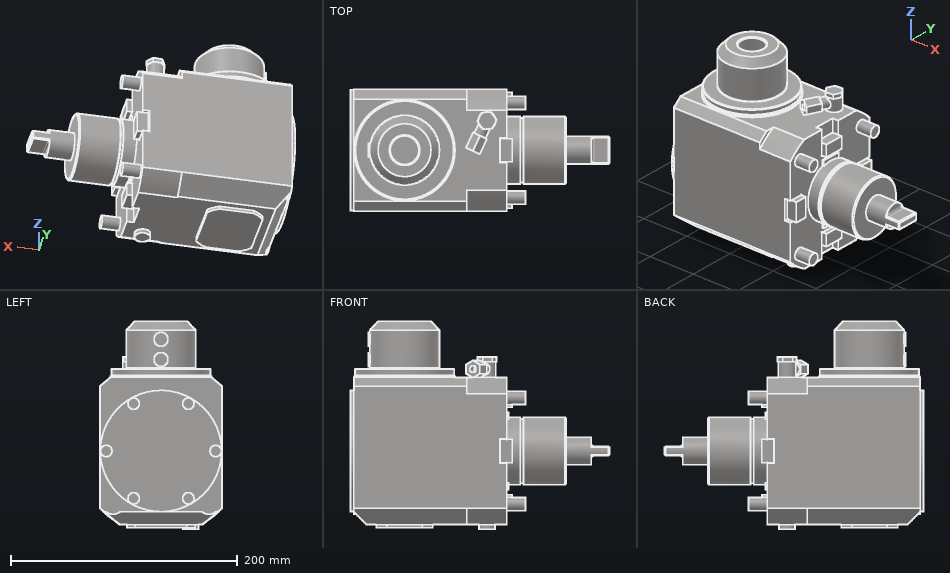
import cadquery as cq

HOUSING_FRONT = 3.0
HOUSING_REAR = 138.3
HOUSING_HALF_WIDTH = 54.0
HOUSING_HALF_HEIGHT = 65.0
TURNED_START = 102.8
TURNED_RADIUS = 74.0
TOP_CHAMFER_Y = 9.2
TOP_CHAMFER_Z = 7.8
BOTTOM_CHAMFER_Y = 17.2
BOTTOM_CHAMFER_Z = 14.7
FRONT_CHAMFER = 11.2

COVER_RADIUS = 53.5
COVER_SCREW_COUNT = 6
COVER_SCREW_RADIUS = 5.0
COVER_SCREW_CIRCLE = 48.3
COVER_SCREW_RECESS = 0.2

CORNER_PAD_RADIUS = 9.8
CORNER_PAD_Y = 42.4
CORNER_PAD_Z = -46.0
CORNER_PAD_LENGTH = 9.2

SPINDLE_X = 47.9
COLLAR_RADIUS = 44.0
COLLAR_FOOT_RADIUS = 44.7
COLLAR_GROOVE_RADIUS = 43.0
COLLAR_FOOT_TOP = 66.0
COLLAR_GROOVE_TOP = 67.0
COLLAR_TOP = 72.8
COLLAR_CHAMFER = 0.7
NECK_RADIUS = 30.2
NECK_TOP = 73.5
NOSE_RADIUS = 31.0
NOSE_TOP = 114.8
NOSE_CHAMFER_HEIGHT = 8.0
NOSE_CHAMFER_WIDTH = 7.5
BORE_RADIUS = 12.5
BORE_CHAMFER = 1.0
SET_SCREW_RADIUS = 6.2
SET_SCREW_REACH = 32.0
SET_SCREW_HEIGHTS = (80.9, 98.7)

SHANK_RADIUS = 30.0
SHANK_END = 190.5
SHANK_CHAMFER = 1.1
SEAL_GROOVE_START = 150.3
SEAL_GROOVE_END = 152.5
SEAL_GROOVE_DEPTH = 1.4
SEAL_GROOVE_CHAMFER = 0.7
SHAFT_RADIUS = 12.4
SHAFT_END = 213.0
TANG_END = 229.0
TANG_THICKNESS = 8.5
TANG_CHAMFER = 1.1
TANG_SIDE_CHAMFER = 1.4
TANG_ROOT_FILLET = 1.8

KEY_START = 132.6
KEY_END = 143.0
KEY_WIDTH = 20.5
KEY_INNER = 38.5
KEY_OUTER = 51.3
KEY_SLOT_CLEARANCE = 0.7
SCREW_RADIUS = 6.0
SCREW_END = 154.8
SCREW_Y = 42.0
SCREW_Z = 47.0
TAB_HALF_HEIGHT = 34.1
TAB_END = 139.7

FITTING_X = 120.7
FITTING_Y = 26.0
FITTING_DIRECTION = -115.0
POST_RADIUS = 7.8
POST_TOP = 78.8
HEX_RADIUS = 8.5
HEX_TOP = 83.1
OUTLET_Z = 72.4
OUTLET_RADIUS = 5.5
NUT_START = 14.7
NUT_END = 29.5
NUT_RADIUS = 7.8
NUT_BORE_RADIUS = 3.0
NUT_BORE_DEPTH = 9.2
PLUG_RADIUS = 7.0
PLUG_BOTTOM = -69.2

PLATE_RADIUS = 34.0
PLATE_LENGTH = 50.2
PLATE_WIDTH = 60.2
PLATE_BOTTOM = -68.0


def rod_x(radius, start, end, y=0, z=0):
    """Cylinder along X from start to end."""
    return cq.Workplane("YZ", origin=(start, y, z)).circle(radius).extrude(end - start)


def rod_z(radius, bottom, top, x, y=0):
    """Cylinder along Z from bottom to top."""
    return cq.Workplane("XY", origin=(x, y, bottom)).circle(radius).extrude(top - bottom)


def block(x_range, y_range, z_range):
    """Box given by its limits along each axis."""
    low, high = zip(x_range, y_range, z_range)
    sizes = [b - a for a, b in zip(low, high)]
    return cq.Workplane("XY").box(*sizes, centered=False).translate(low)


def housing():
    w = HOUSING_HALF_WIDTH
    h = HOUSING_HALF_HEIGHT
    right_side = [
        (w - BOTTOM_CHAMFER_Y, -h),
        (w, -h + BOTTOM_CHAMFER_Z),
        (w, h - TOP_CHAMFER_Z),
        (w - TOP_CHAMFER_Y, h),
    ]
    left_side = [(-y, z) for y, z in reversed(right_side)]
    front = (
        cq.Workplane("YZ", origin=(HOUSING_FRONT, 0, 0))
        .polyline(right_side + left_side)
        .close()
        .extrude(TURNED_START - HOUSING_FRONT)
        .faces("<X").edges("<Z").chamfer(FRONT_CHAMFER)
    )
    turned = rod_x(TURNED_RADIUS, TURNED_START, HOUSING_REAR)
    rear = block((TURNED_START, HOUSING_REAR), (-w, w), (-h, h)).intersect(turned)
    body = front.union(rear)
    for y in (-CORNER_PAD_Y, CORNER_PAD_Y):
        pad_end = HOUSING_FRONT + CORNER_PAD_LENGTH
        body = body.union(rod_x(CORNER_PAD_RADIUS, HOUSING_FRONT, pad_end, y, CORNER_PAD_Z))
    return body


def cover():
    screw_recesses = (
        cq.Workplane("YZ")
        .polarArray(COVER_SCREW_CIRCLE, 0, 360, COVER_SCREW_COUNT)
        .circle(COVER_SCREW_RADIUS)
        .extrude(COVER_SCREW_RECESS)
    )
    return rod_x(COVER_RADIUS, 0, HOUSING_FRONT).cut(screw_recesses)


def spindle():
    base = HOUSING_HALF_HEIGHT
    profile = [
        (0, base),
        (COLLAR_FOOT_RADIUS, base),
        (COLLAR_FOOT_RADIUS, COLLAR_FOOT_TOP),
        (COLLAR_GROOVE_RADIUS, COLLAR_FOOT_TOP),
        (COLLAR_GROOVE_RADIUS, COLLAR_GROOVE_TOP),
        (COLLAR_RADIUS, COLLAR_GROOVE_TOP),
        (COLLAR_RADIUS, COLLAR_TOP - COLLAR_CHAMFER),
        (COLLAR_RADIUS - COLLAR_CHAMFER, COLLAR_TOP),
        (NECK_RADIUS, COLLAR_TOP),
        (NECK_RADIUS, NECK_TOP),
        (NOSE_RADIUS, NECK_TOP),
        (NOSE_RADIUS, NOSE_TOP - NOSE_CHAMFER_HEIGHT),
        (NOSE_RADIUS - NOSE_CHAMFER_WIDTH, NOSE_TOP),
        (0, NOSE_TOP),
    ]
    nose = (
        cq.Workplane("XZ", origin=(SPINDLE_X, 0, 0))
        .polyline(profile)
        .close()
        .revolve(360, (0, 0, 0), (0, 1, 0))
    )
    for z in SET_SCREW_HEIGHTS:
        nose = nose.union(rod_x(SET_SCREW_RADIUS, SPINDLE_X - SET_SCREW_REACH, SPINDLE_X, 0, z))
    bore = rod_z(BORE_RADIUS, base, NOSE_TOP, SPINDLE_X)
    bore_mouth = (
        cq.Workplane("XY", origin=(SPINDLE_X, 0, NOSE_TOP))
        .circle(BORE_RADIUS + BORE_CHAMFER)
        .extrude(-BORE_CHAMFER, taper=45)
    )
    return nose.cut(bore).cut(bore_mouth)


def drive_shaft():
    shank = rod_x(SHANK_RADIUS, SEAL_GROOVE_END, SHANK_END)
    shank = shank.faces(">X").chamfer(SHANK_CHAMFER).faces("<X").chamfer(SEAL_GROOVE_CHAMFER)
    groove_floor = rod_x(SHANK_RADIUS - SEAL_GROOVE_DEPTH, SEAL_GROOVE_START, SEAL_GROOVE_END)
    flange = rod_x(SHANK_RADIUS, HOUSING_REAR, SEAL_GROOVE_START)
    return flange.union(groove_floor).union(shank).union(shaft_end())


def shaft_end():
    """Thin end of the shaft with a flat tang, rounded at its root."""
    half_width = SHAFT_RADIUS
    half_thickness = TANG_THICKNESS / 2
    tang = block(
        (SHAFT_END, TANG_END),
        (-half_width, half_width),
        (-half_thickness, half_thickness),
    )
    tang = tang.edges("|X").chamfer(TANG_SIDE_CHAMFER).faces(">X").chamfer(TANG_CHAMFER)
    tang = tang.intersect(rod_x(SHAFT_RADIUS, SHAFT_END, TANG_END))
    shaft = rod_x(SHAFT_RADIUS, SHANK_END, SHAFT_END).union(tang)
    return shaft.edges("|Y").edges("<X").fillet(TANG_ROOT_FILLET)


def around_shaft(shape):
    """Four copies of a shape, a quarter turn apart about the shaft axis."""
    copies = shape
    for angle in (90, 180, 270):
        copies = copies.union(shape.rotate((0, 0, 0), (1, 0, 0), angle))
    return copies


def keys():
    half = KEY_WIDTH / 2
    return around_shaft(block((KEY_START, KEY_END), (-half, half), (KEY_INNER, KEY_OUTER)))


def key_slots():
    half = KEY_WIDTH / 2 + KEY_SLOT_CLEARANCE
    start = KEY_START - KEY_SLOT_CLEARANCE
    return around_shaft(block((start, HOUSING_REAR), (-half, half), (KEY_INNER, TURNED_RADIUS)))


def rear_screws():
    screws = cq.Workplane("YZ", origin=(HOUSING_REAR, 0, 0))
    screws = screws.rect(2 * SCREW_Y, 2 * SCREW_Z, forConstruction=True).vertices()
    return screws.circle(SCREW_RADIUS).extrude(SCREW_END - HOUSING_REAR)


def rear_tab():
    half = KEY_WIDTH / 2
    return block((HOUSING_REAR, TAB_END), (-half, half), (-TAB_HALF_HEIGHT, TAB_HALF_HEIGHT))


def hexagon(workplane, radius, length):
    return workplane.polygon(6, 2 * radius).extrude(length)


def coolant_fitting():
    """Post with a hexagon head and a side outlet, built along +X and then turned."""
    post = rod_z(POST_RADIUS, HOUSING_HALF_HEIGHT, POST_TOP, 0)
    head = hexagon(cq.Workplane("XY", origin=(0, 0, POST_TOP)), HEX_RADIUS, HEX_TOP - POST_TOP)
    outlet = rod_x(OUTLET_RADIUS, 0, NUT_START, 0, OUTLET_Z)
    nut_plane = cq.Workplane("YZ", origin=(NUT_START, 0, OUTLET_Z)).transformed(rotate=(0, 0, 90))
    nut = hexagon(nut_plane, NUT_RADIUS, NUT_END - NUT_START)
    nut_bore = rod_x(NUT_BORE_RADIUS, NUT_END - NUT_BORE_DEPTH, NUT_END, 0, OUTLET_Z)
    fitting = post.union(head).union(outlet).union(nut).cut(nut_bore)
    return fitting.rotate((0, 0, 0), (0, 0, 1), FITTING_DIRECTION).translate((FITTING_X, FITTING_Y, 0))


def bottom_plug():
    return rod_z(PLUG_RADIUS, PLUG_BOTTOM, -HOUSING_HALF_HEIGHT, FITTING_X, -FITTING_Y)


def bottom_plate():
    """Disc with four flats."""
    disc = rod_z(PLATE_RADIUS, PLATE_BOTTOM, -HOUSING_HALF_HEIGHT, SPINDLE_X)
    flats = block(
        (SPINDLE_X - PLATE_LENGTH / 2, SPINDLE_X + PLATE_LENGTH / 2),
        (-PLATE_WIDTH / 2, PLATE_WIDTH / 2),
        (PLATE_BOTTOM, -HOUSING_HALF_HEIGHT),
    )
    return disc.intersect(flats)


result = housing().cut(key_slots())
for feature in (
    cover(),
    spindle(),
    drive_shaft(),
    keys(),
    rear_screws(),
    rear_tab(),
    coolant_fitting(),
    bottom_plug(),
    bottom_plate(),
):
    result = result.union(feature)